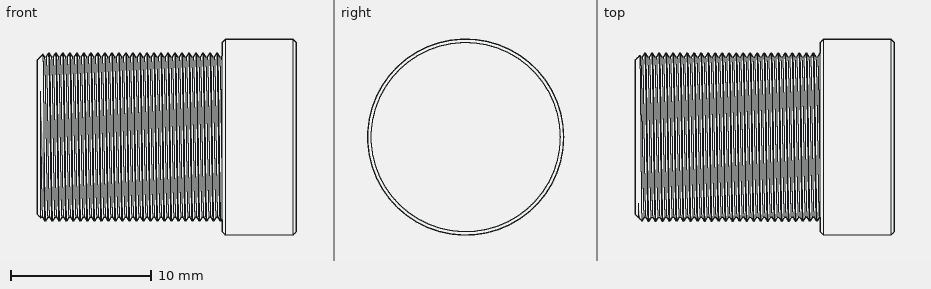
import cadquery as cq
import math

total_length = 18.5
head_diameter = 14.0
head_length = 5.3
head_chamfer = 0.25
shank_length = total_length - head_length

thread_diameter = 12.0
thread_pitch = 0.5
flank_half_angle = math.radians(30)
lead_chamfer = 0.5
groove_at_bottom = 0.34

recess_diameter = 8.0
recess_depth = 0.5

thread_radius = thread_diameter / 2
root_width = thread_pitch / 4
crest_width = thread_pitch / 8
thread_depth = (thread_pitch - crest_width - root_width) / 2 / math.tan(flank_half_angle)
root_radius = thread_radius - thread_depth

cutter_overshoot = 0.045
cutter_outer_radius = thread_radius + cutter_overshoot
cutter_outer_width = thread_pitch - crest_width + 2 * cutter_overshoot * math.tan(flank_half_angle)
run_out_turns = 2


def x_cylinder(start, length, diameter):
    """Round bar along X, starting at X = start."""
    return cq.Workplane("YZ", origin=(start, 0, 0)).circle(diameter / 2).extrude(length)


def make_thread_cutter():
    """Trapezoidal groove swept along a helix, turned so that its axis is X."""
    start = groove_at_bottom - run_out_turns * thread_pitch
    turns = math.ceil(shank_length / thread_pitch) + 2 * run_out_turns
    helix = cq.Wire.makeHelix(thread_pitch, turns * thread_pitch, root_radius)
    groove = (
        cq.Workplane("XZ")
        .moveTo(root_radius, -root_width / 2)
        .lineTo(cutter_outer_radius, -cutter_outer_width / 2)
        .lineTo(cutter_outer_radius, cutter_outer_width / 2)
        .lineTo(root_radius, root_width / 2)
        .close()
        .sweep(cq.Workplane(helix), isFrenet=True)
    )
    return groove.rotate((0, 0, 0), (0, 1, 0), 90).translate((start, 0, 0))


def make_shank():
    """Threaded barrel with a lead-in chamfer at the front face.

    The groove is cut in an overlong bar, so that both its ends lie in material that is trimmed away.
    """
    overlength = 2 * run_out_turns * thread_pitch
    bar = x_cylinder(-overlength, shank_length + 2 * overlength, thread_diameter)
    envelope_diameter = thread_diameter + 2 * lead_chamfer
    envelope = x_cylinder(0, shank_length, envelope_diameter).faces("<X").chamfer(2 * lead_chamfer)
    return bar.cut(make_thread_cutter()).intersect(envelope)


def make_head():
    """Plain round head, chamfered on both rims."""
    head = x_cylinder(shank_length, head_length, head_diameter)
    return head.faces("<X or >X").chamfer(head_chamfer)


recess = x_cylinder(0, recess_depth, recess_diameter)
result = make_shank().union(make_head()).cut(recess).solids()